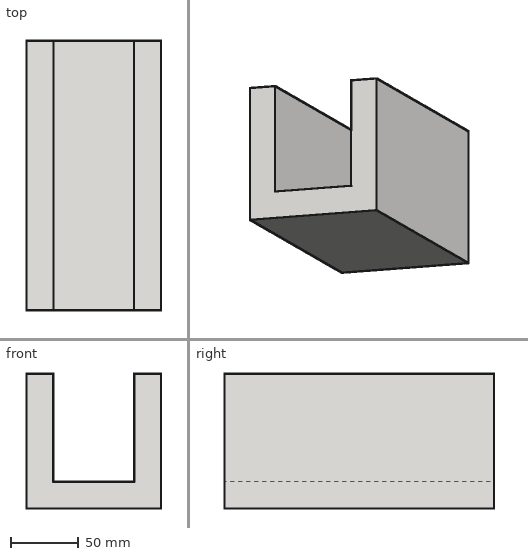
import cadquery as cq

width = 100.0
length = 200.0
height = 100.0
wall_thickness = 20.0

channel_width = width - 2 * wall_thickness
channel_depth = height - wall_thickness


def make_block():
    """Solid block centred on X and Y, resting on Z = 0."""
    return cq.Workplane("XY").box(width, length, height, centered=(True, True, False))


def make_channel():
    """Volume removed above the floor, between the two walls."""
    return (
        cq.Workplane("XY")
        .workplane(offset=wall_thickness)
        .box(channel_width, length, channel_depth, centered=(True, True, False))
    )


result = make_block().cut(make_channel())